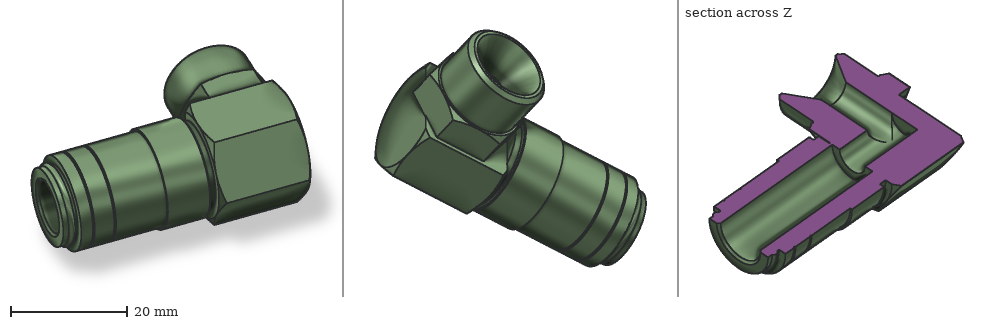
import cadquery as cq
import math


overall_length = 47.7

body_flats = 19.0
body_corner_radius = body_flats / 2 / math.cos(math.radians(30))
body_back = 7.2
body_front = -9.9
body_half_edge = body_flats / 2 * math.tan(math.radians(30))

inlet_end = -20.05
nut_flats = 17.05
nut_corner_radius = nut_flats / 2 / math.cos(math.radians(30))
nut_start = -11.1
nut_end = -5.3
thread_radius = 8.0
thread_chamfer = 0.8
cone_mouth_radius = 6.6
cone_depth = 5.95
passage_radius = 3.0

neck_radius = 8.0
collar_radius = 9.0
collar_start = -11.15
collar_chamfer = 0.2
collar_end = -19.2
sleeve_radius = 8.6
sleeve_end = -35.15
groove_positions = (-28.8, -32.8)
groove_width = 0.3
groove_depth = 0.15
tip_radius = 7.05
outlet_end = nut_corner_radius - overall_length
seal_position = -36.25
seal_section_radius = 0.6
seal_outer_radius = 7.5
bore_radius = 4.75
bore_chamfer = 0.5
bore_end = body_front

hex_chamfer_angle = 30


def revolve_x(points):
    """Solid of revolution about X from (x, radius) points."""
    return cq.Workplane("XY").polyline(points).close().revolve(360, (0, 0, 0), (1, 0, 0))


def revolve_y(points):
    """Solid of revolution about Y from (radius, y) points."""
    return cq.Workplane("XY").polyline(points).close().revolve(360, (0, 0, 0), (0, 1, 0))


def hex_chamfer_length(flats, corner):
    """Axial length of the corner chamfer that starts at the flats on the end face."""
    return (corner - flats / 2) * math.tan(math.radians(hex_chamfer_angle))


def make_body():
    """Hexagonal bar with chamfered corners and a flat inlet side."""
    corner = body_corner_radius
    chamfer = hex_chamfer_length(body_flats, corner)
    bar = cq.Workplane("XZ", origin=(0, body_back, 0)).polygon(6, 2 * corner).extrude(body_back - body_front)
    envelope = revolve_y([
        (0, body_back),
        (body_flats / 2, body_back),
        (corner, body_back - chamfer),
        (corner, body_front + chamfer),
        (body_flats / 2, body_front),
        (0, body_front),
    ])
    inlet_side = cq.Workplane("XY").box(
        corner, 2 * body_flats, 2 * body_flats
    ).translate((-body_half_edge - corner / 2, 0, 0))
    return bar.intersect(envelope).cut(inlet_side)


def make_inlet():
    """Hexagonal nut, chamfered at its outer end, with the round thread stub."""
    corner = nut_corner_radius
    chamfer = hex_chamfer_length(nut_flats, corner)
    bar = cq.Workplane("YZ", origin=(nut_start, 0, 0)).polygon(6, 2 * corner).extrude(nut_end - nut_start)
    envelope = revolve_x([
        (nut_start, 0),
        (nut_start, nut_flats / 2),
        (nut_start + chamfer, corner),
        (nut_end, corner),
        (nut_end, 0),
    ])
    stub = revolve_x([
        (inlet_end, 0),
        (inlet_end, thread_radius - thread_chamfer),
        (inlet_end + thread_chamfer, thread_radius),
        (nut_start, thread_radius),
        (nut_start, 0),
    ])
    return bar.intersect(envelope).union(stub)


def make_spigot():
    """Stepped outlet sleeve with two grooves and a seal ring."""
    spigot = revolve_y([
        (0, body_front),
        (neck_radius, body_front),
        (neck_radius, collar_start),
        (collar_radius - collar_chamfer, collar_start),
        (collar_radius, collar_start - collar_chamfer),
        (collar_radius, collar_end),
        (sleeve_radius, collar_end),
        (sleeve_radius, sleeve_end),
        (tip_radius, sleeve_end),
        (tip_radius, outlet_end),
        (0, outlet_end),
    ])
    for y in groove_positions:
        ring = cq.Workplane("XZ", origin=(0, y + groove_width / 2, 0)).circle(sleeve_radius + groove_depth)
        spigot = spigot.cut(ring.circle(sleeve_radius - groove_depth).extrude(groove_width))
    seal_center = seal_outer_radius - seal_section_radius
    seal = cq.Workplane("XY").center(seal_center, seal_position).circle(seal_section_radius)
    return spigot.union(seal.revolve(360, (-seal_center, 0, 0), (-seal_center, 1, 0)))


def make_inlet_passage():
    """Conical mouth narrowing to the cross passage."""
    return revolve_x([
        (inlet_end, 0),
        (inlet_end, cone_mouth_radius),
        (inlet_end + cone_depth, passage_radius),
        (0, passage_radius),
        (0, 0),
    ])


def make_outlet_passage():
    """Wide chamfered bore stepping down to the cross passage."""
    return revolve_y([
        (0, outlet_end),
        (bore_radius + bore_chamfer, outlet_end),
        (bore_radius, outlet_end + bore_chamfer),
        (bore_radius, bore_end),
        (passage_radius, bore_end),
        (passage_radius, passage_radius),
        (0, passage_radius),
    ])


result = make_body().union(make_inlet()).union(make_spigot())
result = result.cut(make_inlet_passage()).cut(make_outlet_passage())